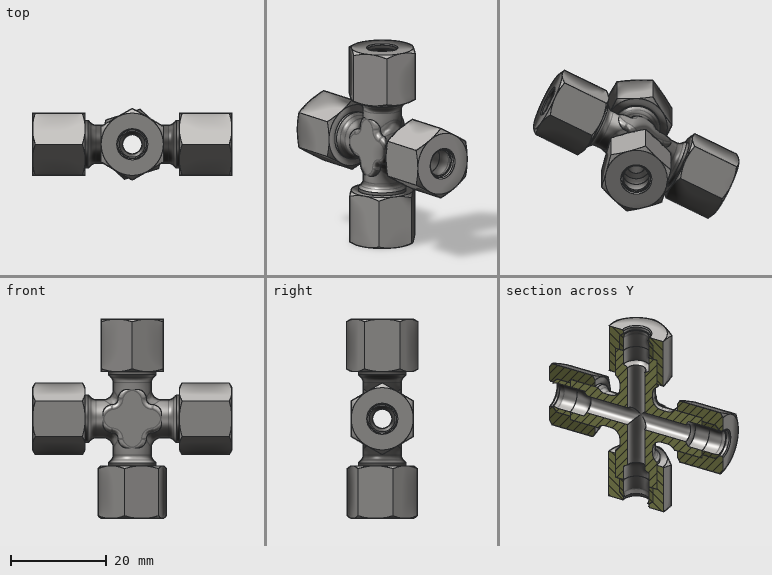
import cadquery as cq
import math

REACH = 20.85
PORT_TILTS = (0, 90, 180, 270)
NUT_ROLLS = (0, 30, 12.5, 30)

NUT_ACROSS_CORNERS = 15.0
NUT_LENGTH = 11.0
NUT_CHAMFER_ANGLE = 30.0
NUT_ENTRY_CHAMFER = 0.25
NUT_LIP = 0.9
NUT_CORNER_RADIUS = NUT_ACROSS_CORNERS / 2
NUT_FACE_RADIUS = NUT_CORNER_RADIUS * math.cos(math.radians(30))
NUT_CHAMFER_HEIGHT = (NUT_CORNER_RADIUS - NUT_FACE_RADIUS) * math.tan(math.radians(NUT_CHAMFER_ANGLE))
NUT_INNER_END = REACH - NUT_LENGTH

TUBE_RADIUS = 3.0
RING_RADIUS = 4.0
RING_LIP_RADIUS = 2.7
RING_LIP_TAPER = 1.0
RING_OUTER_END = REACH - NUT_LIP
RING_SHOULDER = RING_OUTER_END - (RING_RADIUS - TUBE_RADIUS)

ARM_RADIUS = 4.0
STUB_RADIUS = 5.0
STUB_END = 15.85
COLLAR_START = 9.2
NECK_FILLET = 1.5
FLARE_ANGLE = math.radians(45)
FILLET_RISE = NECK_FILLET * (1 - math.cos(FLARE_ANGLE))
FILLET_LENGTH = NECK_FILLET * math.sin(FLARE_ANGLE)
CONE_LENGTH = (STUB_RADIUS - ARM_RADIUS - FILLET_RISE) / math.tan(FLARE_ANGLE)
NECK_START = COLLAR_START - CONE_LENGTH - FILLET_LENGTH
BORE_RADIUS = 2.0
SOCKET_DEPTH = 3.35
SOCKET_CONE_LENGTH = 0.6
CROTCH_FILLET = 2.0
CROTCH_HALF_DEPTH = 2.9

BOSS_FILLET = 1.0
BOSS_NOTCH_CENTRE = 4.15
BOSS_NOTCH_RADIUS = 1.2
LOBE_CENTRE = 3.5
LOBE_CENTRE_OFFSET = 0.4
LOBE_RADIUS = 3.5


def at_port(shape, tilt):
    """Tilt a shape built along +Z onto one of the ports."""
    return shape.rotate((0, 0, 0), (0, 1, 0), tilt)


def make_nut():
    """Hex nut along +Z, corners on the Y axis."""
    hexagon = (
        cq.Workplane("XY", origin=(0, 0, NUT_INNER_END))
        .polygon(6, 2 * NUT_CORNER_RADIUS)
        .extrude(NUT_LENGTH)
        .rotate((0, 0, 0), (0, 0, 1), 30)
    )
    chamfered_round = (
        cq.Workplane("XZ")
        .moveTo(0, NUT_INNER_END)
        .lineTo(NUT_FACE_RADIUS, NUT_INNER_END)
        .lineTo(NUT_CORNER_RADIUS, NUT_INNER_END + NUT_CHAMFER_HEIGHT)
        .lineTo(NUT_CORNER_RADIUS, REACH - NUT_CHAMFER_HEIGHT)
        .lineTo(NUT_FACE_RADIUS, REACH)
        .lineTo(0, REACH)
        .close()
        .revolve(360, (0, 0), (0, 1))
    )
    cavity = (
        cq.Workplane("XZ")
        .moveTo(0, NUT_INNER_END)
        .lineTo(STUB_RADIUS, NUT_INNER_END)
        .lineTo(STUB_RADIUS, STUB_END)
        .lineTo(RING_RADIUS, STUB_END)
        .lineTo(RING_RADIUS, RING_SHOULDER)
        .lineTo(TUBE_RADIUS, RING_OUTER_END)
        .lineTo(TUBE_RADIUS, REACH - NUT_ENTRY_CHAMFER)
        .lineTo(TUBE_RADIUS + NUT_ENTRY_CHAMFER, REACH)
        .lineTo(0, REACH)
        .close()
        .revolve(360, (0, 0), (0, 1))
    )
    return hexagon.intersect(chamfered_round).cut(cavity)


def make_ring():
    """Clamping ring along +Z, between the end of the stub and the nut's cone."""
    return (
        cq.Workplane("XZ")
        .moveTo(TUBE_RADIUS, STUB_END)
        .lineTo(RING_RADIUS, STUB_END)
        .lineTo(RING_RADIUS, RING_SHOULDER)
        .lineTo(TUBE_RADIUS, RING_OUTER_END)
        .lineTo(RING_LIP_RADIUS, RING_OUTER_END)
        .lineTo(TUBE_RADIUS, RING_OUTER_END - RING_LIP_TAPER)
        .close()
        .revolve(360, (0, 0), (0, 1))
    )


def make_arm():
    """Solid arm along +Z: round neck, flared by a fillet and a 45 degree cone into the stub."""
    fillet_middle = (
        ARM_RADIUS + NECK_FILLET * (1 - math.cos(FLARE_ANGLE / 2)),
        NECK_START + NECK_FILLET * math.sin(FLARE_ANGLE / 2),
    )
    fillet_end = (ARM_RADIUS + FILLET_RISE, NECK_START + FILLET_LENGTH)
    return (
        cq.Workplane("XZ")
        .lineTo(ARM_RADIUS, 0)
        .lineTo(ARM_RADIUS, NECK_START)
        .threePointArc(fillet_middle, fillet_end)
        .lineTo(STUB_RADIUS, COLLAR_START)
        .lineTo(STUB_RADIUS, STUB_END)
        .lineTo(0, STUB_END)
        .close()
        .revolve(360, (0, 0), (0, 1))
    )


def make_crotches():
    """Middle of the cross, with the four inside corners between the arms filleted."""
    bar = cq.Workplane("XY").circle(ARM_RADIUS).extrude(NECK_START, both=True)
    slab = cq.Workplane("XY").box(2 * NECK_START, 2 * CROTCH_HALF_DEPTH, 2 * NECK_START)
    cross = bar.union(at_port(bar, 90)).intersect(slab)
    return cross.edges("%ELLIPSE").fillet(CROTCH_FILLET)


def make_bosses():
    """Four-lobed bosses whose flat faces touch the front and back of the arms."""
    arc_end = BOSS_NOTCH_CENTRE - BOSS_NOTCH_RADIUS
    notch_middle = BOSS_NOTCH_CENTRE - BOSS_NOTCH_RADIUS * math.sqrt(0.5)
    tip = LOBE_CENTRE + math.sqrt(LOBE_RADIUS**2 - LOBE_CENTRE_OFFSET**2)
    lobe_start = LOBE_CENTRE + math.sqrt(LOBE_RADIUS**2 - (arc_end + LOBE_CENTRE_OFFSET) ** 2)
    middle_across = arc_end / 2
    lobe_middle = (
        LOBE_CENTRE + math.sqrt(LOBE_RADIUS**2 - (middle_across + LOBE_CENTRE_OFFSET) ** 2),
        middle_across,
    )

    def turned(point, quarter):
        """Turn a point of the outline about the centre by a number of quarter turns."""
        x, z = point
        for _ in range(quarter):
            x, z = -z, x
        return x, z

    outline = cq.Workplane("XZ").moveTo(tip, 0)
    for quarter in range(4):
        outline = (
            outline.threePointArc(turned(lobe_middle, quarter), turned((lobe_start, arc_end), quarter))
            .lineTo(*turned((BOSS_NOTCH_CENTRE, arc_end), quarter))
            .threePointArc(
                turned((notch_middle, notch_middle), quarter),
                turned((arc_end, BOSS_NOTCH_CENTRE), quarter),
            )
            .lineTo(*turned((arc_end, lobe_start), quarter))
            .threePointArc(turned((lobe_middle[1], lobe_middle[0]), quarter), turned((0, tip), quarter))
        )
    slab = outline.close().extrude(ARM_RADIUS, both=True)
    return slab.faces("<Y or >Y").edges().fillet(BOSS_FILLET)


def make_bore():
    """Bore of one arm along +Z, widened by a cone into the tube socket."""
    socket_floor = STUB_END - SOCKET_DEPTH
    return (
        cq.Workplane("XZ")
        .lineTo(BORE_RADIUS, 0)
        .lineTo(BORE_RADIUS, socket_floor - SOCKET_CONE_LENGTH)
        .lineTo(TUBE_RADIUS, socket_floor)
        .lineTo(TUBE_RADIUS, STUB_END)
        .lineTo(0, STUB_END)
        .close()
        .revolve(360, (0, 0), (0, 1))
    )


def make_body():
    """Cross body: arms, filleted crotches and bosses in one solid, then bored through."""
    body = make_crotches()
    for tilt in PORT_TILTS:
        body = body.union(at_port(make_arm(), tilt))
    body = body.union(make_bosses())
    for tilt in PORT_TILTS:
        body = body.cut(at_port(make_bore(), tilt))
    return body


body = make_body()
nuts = []
rings = []
for tilt, roll in zip(PORT_TILTS, NUT_ROLLS):
    rolled_nut = make_nut().rotate((0, 0, 0), (0, 0, 1), roll)
    nuts.append(at_port(rolled_nut, tilt).val())
    rings.append(at_port(make_ring(), tilt).val())

result = cq.Compound.makeCompound([body.val(), *nuts, *rings])